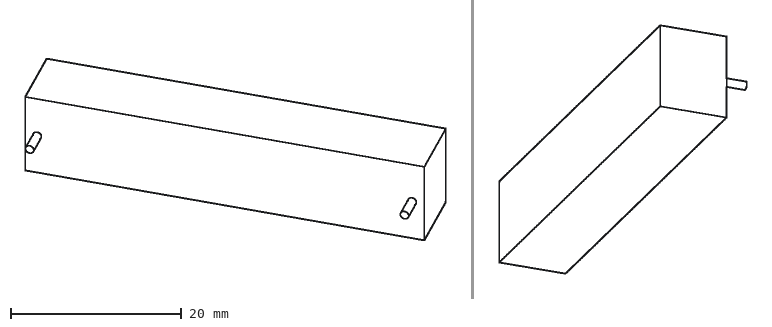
import cadquery as cq

body_length = 49.0
body_height = 10.4
overall_depth = 11.4
pin_length = 3.0
body_depth = overall_depth - pin_length

pin_diameter = 1.05
pin_spacing = 46.05

body = cq.Workplane("XY").box(body_length, body_depth, body_height)

pins = (
    body.faces("<Y")
    .workplane(centerOption="CenterOfBoundBox")
    .pushPoints([(-pin_spacing / 2, 0), (pin_spacing / 2, 0)])
    .circle(pin_diameter / 2)
    .extrude(pin_length, combine=False)
)

result = body.union(pins)